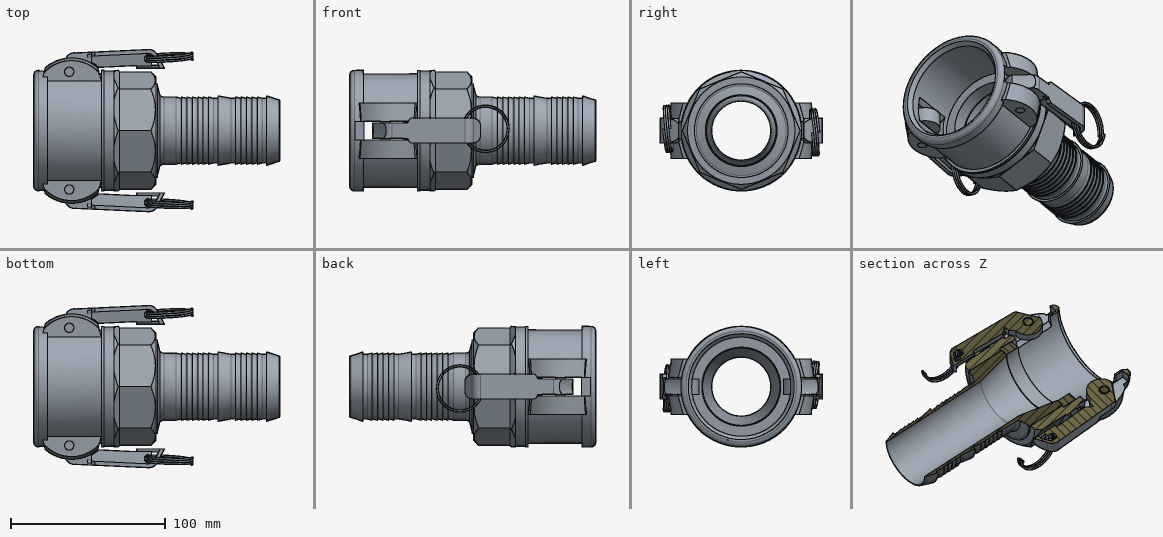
import cadquery as cq
import math


RIM_RADIUS = 39.0
WALL_RADIUS = 36.75
BAND_RADIUS = 38.6
BORE_RADIUS = 32.0
MOUTH_RADIUS = 34.2
MOUTH_DEPTH = 3.0
RIM_FILLET = 3.2
FLANGE_END = 8.85
COLLAR_START = 43.7
COLLAR_END = 45.5
RING_START = 52.0
RING_END = 55.5
RING_FILLET = 1.0
BODY_END = 79.0

OCTAGON_RADIUS = 38.0
OCTAGON_APOTHEM = OCTAGON_RADIUS * math.cos(math.pi / 8)
CORNER_CLEARANCE = 0.001
CORNER_CHAMFER = 3.3

GASKET_THICKNESS = 10.0
GASKET_BORE_RADIUS = 25.5
SPIGOT_RADIUS = 30.25

PIVOT_X = 23.0
PIVOT_Y = 38.0
EAR_X = 24.5
EAR_Y = 21.0
EAR_BASE_LENGTH = 43.8
EAR_END_SLOPE = 0.25
EAR_INNER_RADIUS = 26.0
EAR_OUTER_RADIUS = 24.2
EAR_OUTER_Z = 18.0
WINDOW_HALF_WIDTH = 6.0
WINDOW_START = 9.3
WINDOW_END = 38.3
WINDOW_FLARE = 3.0
RECESS_FLOOR_Y = 33.6
RECESS_START = 3.5

PIN_DIAMETER = 6.0
PIN_CLEARANCE_DIAMETER = 6.5

TAIL_END = 159.0
TAIL_BORE_RADIUS = 19.0
TAIL_MOUTH_RADIUS = 25.0
TAIL_CONE_END = 79.0
SPIGOT_END = 80.0
SHOULDER_RADIUS = 29.0
SHOULDER_FOOT_X = 81.5
SHOULDER_FOOT_RADIUS = 23.2
NECK_BLEND_MID = (82.34, 22.33)
NECK_START = 84.3
NECK_RADIUS = 21.75
GROOVE_RADIUS = 21.0
FIRST_TEETH_X = 92.0
FIRST_TEETH = 7
SECOND_TEETH_X = 130.5
SECOND_TEETH = 5
TOOTH_PITCH = 3.5
TOOTH_RAMP = 3.0
BARB_RADIUS = 22.5
MIDDLE_BARB_X = 119.0
MIDDLE_BARB_END = 127.4
END_BARB_X = 150.5
TIP_RADIUS = 20.0
TIP_FILLET = 0.9

CAM_X = 24.5
CAM_Y = 37.0
CAM_RADIUS = 9.8
HUB_HALF_WIDTH = 5.0
NOSE_X = 21.3
NOSE_Y = 47.5
NOSE_ARC_X = 23.2
NOSE_ARC_Y = 49.4
SCOOP_DEPTH = 0.8
HANDLE_HALF_WIDTH = 8.0
HANDLE_START = 37.5
HANDLE_KNEE = 27.3
HANDLE_KNEE_Y = 50.25
HANDLE_BEND = 74.5
HANDLE_BEND_Y = 52.44
BEND_OUTER_MID = (77.4, 51.6)
TONGUE_ROOT_OUTER = (79.9, 48.6)
TONGUE_ROOT_INNER = (78.0, 47.3)
BEND_INNER_MID = (76.2, 49.2)
BEND_INNER_X = 73.5
HANDLE_THICKNESS = 2.6
HANDLE_SHOULDER = 2.0
GRIP_START = 34.7
GRIP_TAIL_START = 63.4
GRIP_END = 76.2
GRIP_OUTER_HALF_WIDTH = 5.9
GRIP_INNER_HALF_WIDTH = 3.7
GRIP_EAR_GAP = 0.4
GRIP_INNER_Y = 40.4
GRIP_TAIL_Y = 41.8
TONGUE_TIP_X = 84.6
TONGUE_TIP_Y = 40.2
TONGUE_TIP_RADIUS = 5.0
TONGUE_THICKNESS = 2.9
FOOT_START = 66.5
FOOT_END = 82.0
FOOT_Y = 40.2
FOOT_OVERLAP = 0.5
FOOT_ROUND = 1.4

RING_HOLE_DIAMETER = 5.0
RING_HOLE_X = 74.11
RING_HOLE_Y = 46.51
WIRE_DIAMETER = 1.3
COIL_RADIUS = 14.6
COIL_PITCH = 1.4
COIL_TURNS = 3
COIL_X = 87.75
COIL_Y = 47.3
COIL_Z = -1.2
COIL_LEAN = 5.0
COIL_SWING = 3.0


def box(x0, x1, y0, y1, z0, z1):
    """Box between the given limits."""
    return cq.Workplane("XY").box(x1 - x0, y1 - y0, z1 - z0, centered=False).translate((x0, y0, z0))


def turned(profile):
    """Full revolution about the X axis of a closed profile drawn as (x, radius)."""
    return profile.close().revolve(360, (0, 0, 0), (1, 0, 0))


def mid_plane(half_width):
    """XY workplane from which an extrusion of twice the half width is centred on z = 0."""
    return cq.Workplane("XY", origin=(0, 0, -half_width))


def rod(x, y, diameter, half_length):
    """Cylinder along Z, centred on z = 0."""
    return mid_plane(half_length).center(x, y).circle(diameter / 2).extrude(2 * half_length)


def octagon(x, apothem_start, apothem_end, length):
    """Octagonal frustum along X with a corner pointing up."""
    def section(apothem):
        corner = apothem / math.cos(math.pi / 8)
        return [(corner * math.cos(i * math.pi / 4), corner * math.sin(i * math.pi / 4)) for i in range(8)]

    plane = cq.Workplane("YZ", origin=(x, 0, 0))
    start = plane.polyline(section(apothem_start)).close()
    return start.workplane(offset=length).polyline(section(apothem_end)).close().loft(ruled=True)


def opposite(shape):
    """The copy of a +Y part on the -Y side, turned half a revolution about the coupler axis."""
    return shape.rotate((0, 0, 0), (1, 0, 0), 180)


def make_shell():
    """Turned outside of the socket, up to the start of the octagon."""
    fillet_mid = RIM_FILLET * (1 - math.sqrt(0.5))
    return turned(
        cq.Workplane("XY")
        .moveTo(0, 0)
        .lineTo(0, RIM_RADIUS - RIM_FILLET)
        .threePointArc((fillet_mid, RIM_RADIUS - fillet_mid), (RIM_FILLET, RIM_RADIUS))
        .lineTo(FLANGE_END, RIM_RADIUS)
        .lineTo(FLANGE_END, WALL_RADIUS)
        .lineTo(COLLAR_START, WALL_RADIUS)
        .lineTo(COLLAR_START, RIM_RADIUS)
        .lineTo(COLLAR_END, RIM_RADIUS)
        .lineTo(COLLAR_END, BAND_RADIUS)
        .lineTo(RING_START, BAND_RADIUS)
        .lineTo(RING_START, 0)
    )


def make_octagon():
    """Rounded collar whose flats slope at 45 degrees down to the wrench flats."""
    ring_length = RING_END - RING_START
    ring = cq.Workplane("YZ", origin=(RING_START, 0, 0)).circle(RIM_RADIUS).extrude(ring_length)
    ring = ring.faces(">X").edges().fillet(RING_FILLET)
    ring = ring.intersect(octagon(RING_START, OCTAGON_APOTHEM + ring_length, OCTAGON_APOTHEM, ring_length))
    flats = octagon(RING_END, OCTAGON_APOTHEM, OCTAGON_APOTHEM, BODY_END - RING_END)
    turned_end = cq.Workplane("YZ", origin=(RING_END, 0, 0)).circle(OCTAGON_RADIUS + CORNER_CLEARANCE)
    turned_end = turned_end.extrude(BODY_END - RING_END).faces(">X").edges().chamfer(CORNER_CHAMFER)
    return ring.union(flats.intersect(turned_end))


def make_ear(side):
    """Tapered half-round ear above the +Y window; side is 1 for +Z and -1 for -Z."""
    height = EAR_OUTER_Z - WINDOW_HALF_WIDTH
    ear = (
        cq.Workplane("XY", origin=(EAR_X, EAR_Y, WINDOW_HALF_WIDTH))
        .circle(EAR_INNER_RADIUS)
        .workplane(offset=height)
        .circle(EAR_OUTER_RADIUS)
        .loft()
    )
    base = EAR_BASE_LENGTH / 2
    tip = base - EAR_END_SLOPE * EAR_INNER_RADIUS
    ends = (
        cq.Workplane("XY", origin=(EAR_X, EAR_Y, WINDOW_HALF_WIDTH))
        .polyline([(-base, 0), (base, 0), (tip, EAR_INNER_RADIUS), (-tip, EAR_INNER_RADIUS)])
        .close()
        .extrude(height)
    )
    ear = ear.intersect(ends)
    return ear if side > 0 else ear.mirror("XY")


def make_window_flare():
    """Prism that widens the +Y window from the recess floor inwards."""
    outer = WINDOW_HALF_WIDTH
    inner = WINDOW_HALF_WIDTH + WINDOW_FLARE
    inner_y = RECESS_FLOOR_Y - WINDOW_FLARE
    return (
        cq.Workplane("YZ", origin=(WINDOW_START, 0, 0))
        .polyline([(RECESS_FLOOR_Y, -outer), (RECESS_FLOOR_Y, outer), (inner_y, inner), (inner_y, -inner)])
        .close()
        .extrude(WINDOW_END - WINDOW_START)
    )


def make_body():
    body = make_shell().union(make_octagon())
    for side in (1, -1):
        ear = make_ear(side)
        body = body.union(ear).union(opposite(ear))
    bore = turned(
        cq.Workplane("XY")
        .moveTo(0, 0)
        .lineTo(0, MOUTH_RADIUS)
        .lineTo(MOUTH_DEPTH, BORE_RADIUS)
        .lineTo(RING_START, BORE_RADIUS)
        .lineTo(RING_START, SPIGOT_RADIUS)
        .lineTo(BODY_END, SPIGOT_RADIUS)
        .lineTo(BODY_END, 0)
    )
    half = WINDOW_HALF_WIDTH
    window = box(WINDOW_START, WINDOW_END, 0, 2 * RIM_RADIUS, -half, half)
    recess = box(RECESS_START, WINDOW_START, RECESS_FLOOR_Y, 2 * RIM_RADIUS, -half, half)
    pin_hole = rod(PIVOT_X, PIVOT_Y, PIN_DIAMETER, EAR_OUTER_Z)
    body = body.cut(bore)
    for cutter in (window, make_window_flare(), recess, pin_hole):
        body = body.cut(cutter).cut(opposite(cutter))
    return body


def make_gasket():
    start = cq.Workplane("YZ", origin=(RING_START - GASKET_THICKNESS, 0, 0))
    return start.circle(BORE_RADIUS).circle(GASKET_BORE_RADIUS).extrude(GASKET_THICKNESS)


def add_teeth(profile, first_x, count):
    """Row of saw teeth, each a ramp down to the groove radius and a short flat."""
    for i in range(count):
        crest = first_x + i * TOOTH_PITCH
        profile = (
            profile.lineTo(crest, GROOVE_RADIUS)
            .lineTo(crest, NECK_RADIUS)
            .lineTo(crest + TOOTH_RAMP, GROOVE_RADIUS)
        )
    return profile


def make_hose_tail():
    tip_mid = TIP_FILLET * (1 - math.sqrt(0.5))
    profile = (
        cq.Workplane("XY")
        .moveTo(RING_START, TAIL_MOUTH_RADIUS)
        .lineTo(RING_START, SPIGOT_RADIUS)
        .lineTo(SPIGOT_END, SPIGOT_RADIUS)
        .lineTo(SPIGOT_END, SHOULDER_RADIUS)
        .lineTo(SHOULDER_FOOT_X, SHOULDER_FOOT_RADIUS)
        .threePointArc(NECK_BLEND_MID, (NECK_START, NECK_RADIUS))
        .lineTo(FIRST_TEETH_X, NECK_RADIUS)
        .lineTo(FIRST_TEETH_X + TOOTH_RAMP, GROOVE_RADIUS)
    )
    profile = add_teeth(profile, FIRST_TEETH_X + TOOTH_PITCH, FIRST_TEETH - 1)
    profile = (
        profile.lineTo(MIDDLE_BARB_X, GROOVE_RADIUS)
        .lineTo(MIDDLE_BARB_X, BARB_RADIUS)
        .lineTo(MIDDLE_BARB_END, GROOVE_RADIUS)
    )
    profile = add_teeth(profile, SECOND_TEETH_X, SECOND_TEETH)
    profile = (
        profile.lineTo(END_BARB_X, GROOVE_RADIUS)
        .lineTo(END_BARB_X, BARB_RADIUS)
        .lineTo(TAIL_END - TIP_FILLET, TIP_RADIUS)
        .threePointArc((TAIL_END - tip_mid, TIP_RADIUS - tip_mid), (TAIL_END, TIP_RADIUS - TIP_FILLET))
        .lineTo(TAIL_END, TAIL_BORE_RADIUS)
        .lineTo(TAIL_CONE_END, TAIL_BORE_RADIUS)
    )
    return turned(profile)


def make_hub():
    """Cam lobe with the arm that carries it on the handle, scooped along its front."""
    lobe = rod(CAM_X, CAM_Y, 2 * CAM_RADIUS, HUB_HALF_WIDTH)
    front_x = CAM_X - CAM_RADIUS
    arm = (
        mid_plane(HUB_HALF_WIDTH)
        .moveTo(front_x, CAM_Y)
        .lineTo(NOSE_X, NOSE_Y)
        .threePointArc((NOSE_ARC_X, NOSE_ARC_Y), (HANDLE_KNEE, HANDLE_KNEE_Y))
        .lineTo(HANDLE_START, handle_outer_y(HANDLE_START))
        .lineTo(HANDLE_START, GRIP_INNER_Y)
        .lineTo(CAM_X + CAM_RADIUS, CAM_Y)
        .close()
        .extrude(2 * HUB_HALF_WIDTH)
    )
    scoop_radius = (HUB_HALF_WIDTH ** 2 + SCOOP_DEPTH ** 2) / (2 * SCOOP_DEPTH)
    run = math.hypot(NOSE_X - front_x, NOSE_Y - CAM_Y)
    along = ((NOSE_X - front_x) / run, (NOSE_Y - CAM_Y) / run)
    offset = scoop_radius - SCOOP_DEPTH
    axis_start = cq.Vector(front_x - offset * along[1], CAM_Y + offset * along[0], 0)
    scoop = cq.Solid.makeCylinder(scoop_radius, 2 * run, axis_start, cq.Vector(*along, 0))
    return lobe.union(arm).cut(cq.Workplane(scoop))


def handle_outer_y(x):
    """Outer face of the straight handle, which leans slightly outwards."""
    slope = (HANDLE_BEND_Y - HANDLE_KNEE_Y) / (HANDLE_BEND - HANDLE_KNEE)
    return HANDLE_KNEE_Y + slope * (x - HANDLE_KNEE)


def make_handle():
    """Outer plate of the handle with its inward-bent, rounded tongue."""
    plate = (
        mid_plane(HANDLE_HALF_WIDTH)
        .moveTo(HANDLE_START, handle_outer_y(HANDLE_START))
        .lineTo(HANDLE_BEND, HANDLE_BEND_Y)
        .threePointArc(BEND_OUTER_MID, TONGUE_ROOT_OUTER)
        .lineTo(TONGUE_TIP_X, TONGUE_TIP_Y)
        .lineTo(TONGUE_TIP_X - TONGUE_THICKNESS, TONGUE_TIP_Y)
        .lineTo(*TONGUE_ROOT_INNER)
        .threePointArc(BEND_INNER_MID, (BEND_INNER_X, HANDLE_BEND_Y - HANDLE_THICKNESS))
        .lineTo(HANDLE_START, handle_outer_y(HANDLE_START) - HANDLE_THICKNESS)
        .close()
        .extrude(2 * HANDLE_HALF_WIDTH)
    )
    length = TONGUE_TIP_X - HANDLE_START
    outline = (
        cq.Workplane("XZ", origin=(HANDLE_START + length / 2, 0, 0))
        .rect(length, 2 * HANDLE_HALF_WIDTH)
        .extrude(-2 * HANDLE_BEND_Y)
    )
    outline = outline.edges("|Y and <X").chamfer(HANDLE_SHOULDER)
    outline = outline.edges("|Y and >X").fillet(TONGUE_TIP_RADIUS)
    return plate.intersect(outline)


def make_grip():
    """Drafted block under the handle plate, relieved around the ears."""
    side_view = (
        mid_plane(HANDLE_HALF_WIDTH)
        .moveTo(GRIP_START, handle_outer_y(GRIP_START) - HANDLE_THICKNESS / 2)
        .lineTo(GRIP_END, handle_outer_y(HANDLE_BEND) - HANDLE_THICKNESS)
        .lineTo(GRIP_END, GRIP_TAIL_Y)
        .lineTo(GRIP_TAIL_START, GRIP_TAIL_Y)
        .lineTo(GRIP_START, GRIP_INNER_Y)
        .close()
        .extrude(2 * HANDLE_HALF_WIDTH)
    )
    outer = GRIP_OUTER_HALF_WIDTH
    inner = GRIP_INNER_HALF_WIDTH
    section = (
        cq.Workplane("YZ", origin=(GRIP_START, 0, 0))
        .moveTo(HANDLE_BEND_Y, outer)
        .lineTo(HANDLE_BEND_Y, -outer)
        .lineTo(GRIP_INNER_Y, -inner)
        .lineTo(GRIP_INNER_Y, inner)
        .close()
        .extrude(GRIP_END - GRIP_START)
    )
    relief = rod(EAR_X, EAR_Y, 2 * (EAR_INNER_RADIUS + GRIP_EAR_GAP), HANDLE_HALF_WIDTH)
    return side_view.intersect(section).cut(relief)


def make_foot():
    """Low rounded rest on the inner side of the grip, running out to the tongue."""
    half = GRIP_INNER_HALF_WIDTH
    foot = box(FOOT_START, FOOT_END, FOOT_Y, GRIP_TAIL_Y + FOOT_OVERLAP, -half, half)
    return foot.faces("<Y").edges("|X").fillet(FOOT_ROUND)


def make_lever():
    lever = make_hub().union(make_grip()).union(make_handle()).union(make_foot())
    lever = lever.cut(rod(PIVOT_X, PIVOT_Y, PIN_CLEARANCE_DIAMETER, HANDLE_HALF_WIDTH))
    return lever.cut(rod(RING_HOLE_X, RING_HOLE_Y, RING_HOLE_DIAMETER, HANDLE_HALF_WIDTH))


def make_pin():
    return rod(PIVOT_X, PIVOT_Y, PIN_DIAMETER, EAR_OUTER_Z)


def make_split_ring():
    """Coiled wire with its ends on the side away from the lever."""
    height = COIL_TURNS * COIL_PITCH
    helix = cq.Wire.makeHelix(COIL_PITCH, height, COIL_RADIUS)
    start = cq.Workplane("XZ", origin=(COIL_RADIUS, 0, 0)).circle(WIRE_DIAMETER / 2)
    coil = start.sweep(helix, isFrenet=True).translate((0, 0, -height / 2))
    coil = coil.rotate((0, 0, 0), (1, 0, 0), -90 + COIL_LEAN)
    return coil.rotate((0, 0, 0), (0, 0, 1), COIL_SWING).translate((COIL_X, COIL_Y, COIL_Z))


body = make_body()
gasket = make_gasket()
hose_tail = make_hose_tail()
moving_parts = []
for part in (make_lever(), make_pin(), make_split_ring()):
    moving_parts += [part.val(), opposite(part).val()]

result = cq.Compound.makeCompound([body.val(), gasket.val(), hose_tail.val(), *moving_parts])